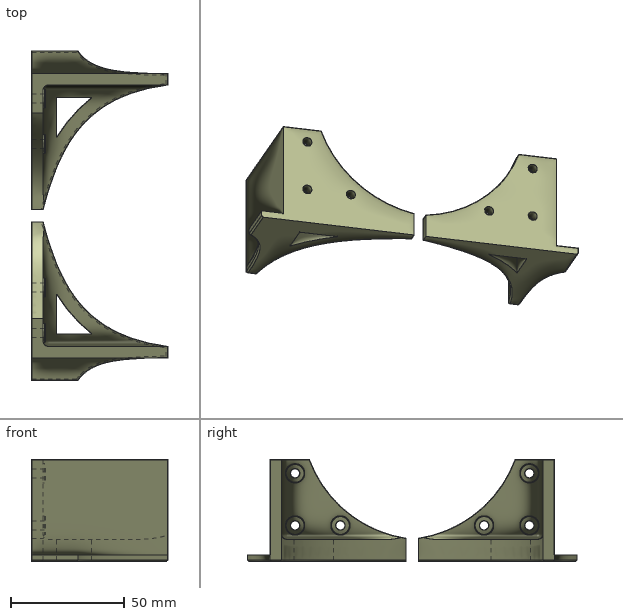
import cadquery as cq

length_x = 60.0
height = 45.0
bracket_length = 70.0
overall_y = 145.38

wall = 5.0
flange_width = 10.0
flange_thickness = 3.0
flange_edge_length = 20.3
floor_thickness = 9.8
back_inner = flange_width + wall
inner_fillet = 2.5
bottom_chamfer = 0.75

side_top_end = flange_width + 17.3
side_tip_height = 10.3
side_curve_radius = 54.0

floor_curve_controls = [(24.7, 19.6), (12.8, 39.5)]
flange_curve_controls = [(26.3, 8.9), (39.5, 9.9)]

window_x = 11.0
window_y = 20.6
window_length_x = 15.4
window_length_y = 17.4
window_bow = 1.0

hole_diameter = 4.0
boss_diameter = 8.5
boss_height = 1.0
boss_chamfer = 0.3
hole_y = flange_width + 11.0
hole_z = 16.0
hole_spacing_y = 20.0
hole_spacing_z = 23.0
hole_places = [
    (hole_y, hole_z),
    (hole_y + hole_spacing_y, hole_z),
    (hole_y, hole_z + hole_spacing_z),
]

margin = 0.1


def make_block():
    """Full-height block under the plan outline of back wall, side wall and floor."""
    floor_curve = [(length_x, back_inner), *floor_curve_controls, (wall, bracket_length)]
    return (
        cq.Workplane("XY")
        .moveTo(0, flange_width)
        .lineTo(length_x, flange_width)
        .lineTo(length_x, back_inner)
        .bezier(floor_curve)
        .lineTo(0, bracket_length)
        .close()
        .extrude(height)
    )


def make_flange():
    """Thin foot behind the back wall, which narrows to nothing along a curve."""
    flange_curve = [(flange_edge_length, 0), *flange_curve_controls, (length_x, flange_width)]
    return (
        cq.Workplane("XY")
        .lineTo(flange_edge_length, 0)
        .bezier(flange_curve)
        .lineTo(length_x, back_inner)
        .lineTo(0, back_inner)
        .close()
        .extrude(flange_thickness)
    )


def make_cavity():
    """Space inside the walls, rounded where walls and floor meet; it overshoots the open sides."""
    inner_edges = "(<X and <Y) or (<X and <Z) or (<Y and <Z)"
    return (
        cq.Workplane("XY")
        .box(2 * length_x, 2 * bracket_length, 2 * height, centered=False)
        .translate((wall, back_inner, floor_thickness))
        .edges(inner_edges)
        .fillet(inner_fillet)
    )


def make_side_trim():
    """Cutter above the curved top edge of the side wall."""
    return (
        cq.Workplane("YZ")
        .moveTo(side_top_end, height)
        .radiusArc((bracket_length, side_tip_height), -side_curve_radius)
        .lineTo(bracket_length, height)
        .close()
        .extrude(length_x)
    )


def make_window():
    """Cutter for the triangular opening, whose long side is a shallow arc."""
    return (
        cq.Workplane("XY")
        .moveTo(window_x, window_y)
        .lineTo(window_x + window_length_x, window_y)
        .sagittaArc((window_x, window_y + window_length_y), window_bow)
        .close()
        .extrude(floor_thickness)
    )


def chamfer_bottom(bracket):
    """Chamfer the bottom outline, except at the mounting face (X = 0) and the tip."""
    chamfered_edges = cq.selectors.BoxSelector(
        (margin, -margin, -margin),
        (length_x + margin, bracket_length - margin, margin),
    )
    return bracket.edges(chamfered_edges).chamfer(bottom_chamfer)


def make_bosses():
    """Round bosses that start at X = 0 inside the side wall and stand out from its inner face."""
    return (
        cq.Workplane("YZ")
        .pushPoints(hole_places)
        .circle(boss_diameter / 2)
        .extrude(wall + boss_height)
        .faces(">X")
        .chamfer(boss_chamfer)
    )


def make_holes():
    """Drills through the side wall and the bosses."""
    return (
        cq.Workplane("YZ")
        .pushPoints(hole_places)
        .circle(hole_diameter / 2)
        .extrude(wall + boss_height)
    )


def make_bracket():
    """One bracket, with its flange edge on Y = 0 and its tip toward +Y."""
    walls = make_block().cut(make_cavity()).cut(make_side_trim())
    bracket = chamfer_bottom(walls.union(make_flange()))
    return bracket.cut(make_window()).union(make_bosses()).cut(make_holes())


front_bracket = make_bracket().translate((0, -overall_y / 2, 0))
rear_bracket = front_bracket.mirror("XZ")

result = cq.Compound.makeCompound([front_bracket.val(), rear_bracket.val()])